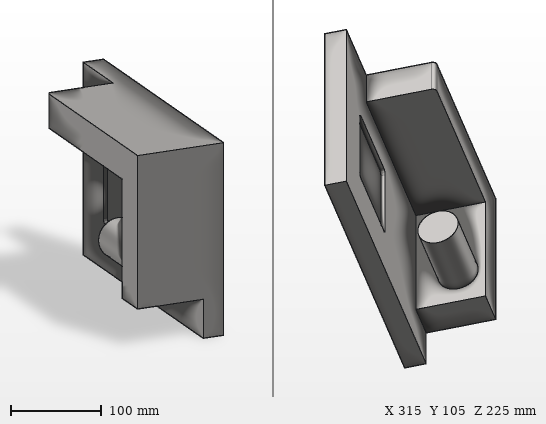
import cadquery as cq

length = 315.0
depth = 105.0
height = 225.0
plate_thickness = 25.0

arm_start = 78.5
arm_thickness = 40.0
wall_thickness = 40.5
wall_bottom = 45.7
corner_radius = 5.0

pocket_left = 53.2
pocket_bottom = 53.5
pocket_width = 100.0
pocket_height = 92.5
pocket_depth = 5.0
pocket_radius = 5.0

pin_diameter = 46.3
pin_length = 79.5
pin_y = 31.5
pin_z = 87.5

plate_front = depth - plate_thickness
wall_inner = length - wall_thickness


def block(x, y, z, size_x, size_y, size_z):
    """Box with its lowest corner at (x, y, z)."""
    return cq.Workplane("XY").box(size_x, size_y, size_z, centered=False).translate((x, y, z))


def make_plate():
    plate = block(0, plate_front, 0, length, plate_thickness, height)
    pocket = block(
        pocket_left, plate_front, pocket_bottom, pocket_width, pocket_depth, pocket_height
    ).edges("|Y").fillet(pocket_radius)
    return plate.cut(pocket)


def make_arm():
    arm = block(
        arm_start, 0, height - arm_thickness, length - arm_start, plate_front, arm_thickness
    )
    return arm.edges("|Z and <X and <Y").fillet(corner_radius)


def make_wall():
    return block(wall_inner, 0, wall_bottom, wall_thickness, plate_front, height - wall_bottom)


def make_pin():
    return (
        cq.Workplane("YZ", origin=(wall_inner - pin_length, pin_y, pin_z))
        .circle(pin_diameter / 2)
        .extrude(pin_length)
    )


result = make_plate().union(make_arm()).union(make_wall()).union(make_pin())